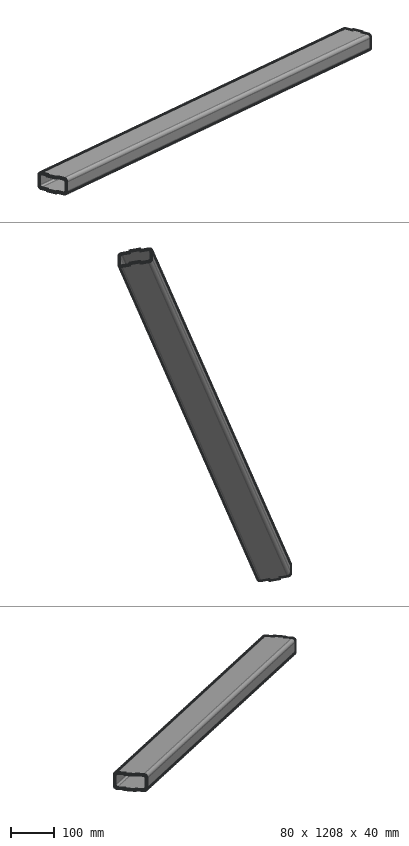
import cadquery as cq

width = 80.0
length = 1208.0
height = 40.0

wall = 4.0
corner_radius = 8.0

tab_width = 25.0
tab_length = 5.0

body_length = length - 2 * tab_length


def make_tube():
    """Rounded rectangular tube, centred on the origin and open at both ends."""
    outer = (
        cq.Workplane("XY")
        .box(width, body_length, height)
        .edges("|Y")
        .fillet(corner_radius)
    )
    bore = (
        cq.Workplane("XY")
        .box(width - 2 * wall, body_length, height - 2 * wall)
        .edges("|Y")
        .fillet(corner_radius - wall)
    )
    return outer.cut(bore)


def make_tab_strip(side):
    """Full-length strip in the top (side=1) or bottom (side=-1) wall, ending in two tabs."""
    wall_center = side * (height - wall) / 2
    return cq.Workplane("XY").box(tab_width, length, wall).translate((0, 0, wall_center))


result = make_tube()
for side in (1, -1):
    result = result.union(make_tab_strip(side))
result = result.clean()